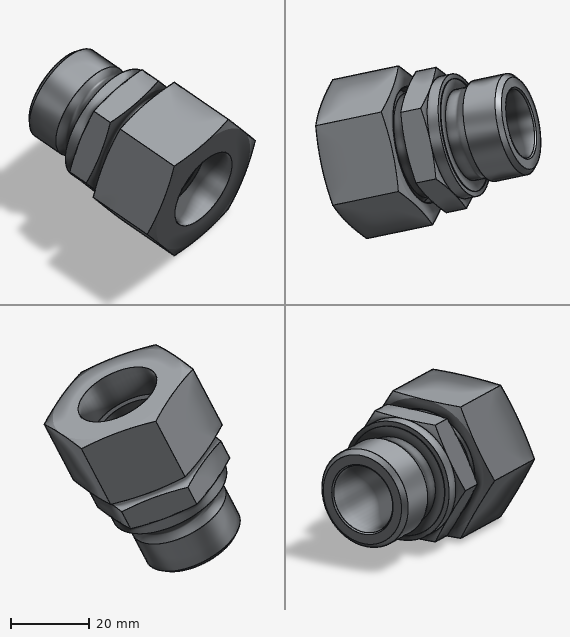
import cadquery as cq
import math

overall_length = 49.0

bore_radius = 9.0
bore_lip_chamfer = 0.4
stud_radius = 13.25
stud_tip_chamfer = 1.22
stud_length = 10.25
neck_radius = 11.9
neck_fillet = 1.35
neck_taper = math.radians(30)

flange_start = 15.95
flange_end = 19.05
body_hex_end = 26.0
body_hex_flats = 32.0
flange_radius = body_hex_flats / 2

shank_neck_radius = 13.55
shank_neck_end = 29.6
shank_radius = 15.0
shank_taper = math.radians(30)
shank_end = 40.0
shank_fillet = 0.6

seal_radius = 14.7
seal_depth = 1.45
seal_projection = 0.2

nut_start = 29.0
nut_flats = 36.0
nut_mouth_chamfer = 0.3
tube_hole_radius = 11.0

hex_chamfer_angle = math.radians(15)


def tube(start, end, outer_radius, inner_radius):
    """Round tube along X."""
    return (
        cq.Workplane("YZ", origin=(start, 0, 0))
        .circle(outer_radius)
        .circle(inner_radius)
        .extrude(end - start)
    )


def chamfered_hex(start, end, flats):
    """Hexagonal prism along X, its corners turned off by a shallow cone at both ends."""
    face_radius = flats / 2
    corner_radius = face_radius / math.cos(math.pi / 6)
    cone_length = (corner_radius - face_radius) * math.tan(hex_chamfer_angle)
    prism = (
        cq.Workplane("YZ", origin=(start, 0, 0))
        .polygon(6, 2 * corner_radius)
        .extrude(end - start)
    )
    turned_envelope = (
        cq.Workplane("XY")
        .moveTo(start, 0)
        .lineTo(start, face_radius)
        .lineTo(start + cone_length, corner_radius)
        .lineTo(end - cone_length, corner_radius)
        .lineTo(end, face_radius)
        .lineTo(end, 0)
        .close()
        .revolve(360, (0, 0, 0), (1, 0, 0))
    )
    return prism.intersect(turned_envelope)


def stud_and_flange():
    """Turned stud, undercut neck and flange, still without the bore."""
    taper_end_radius = neck_radius + neck_fillet * (1 - math.cos(neck_taper))
    taper_end = stud_length + (stud_radius - taper_end_radius) / math.tan(neck_taper)
    neck_start = taper_end + neck_fillet * math.sin(neck_taper)
    fillet_middle = (
        neck_start - neck_fillet * math.sin(neck_taper / 2),
        neck_radius + neck_fillet * (1 - math.cos(neck_taper / 2)),
    )
    return (
        cq.Workplane("XY")
        .lineTo(0, stud_radius - stud_tip_chamfer)
        .lineTo(stud_tip_chamfer, stud_radius)
        .lineTo(stud_length, stud_radius)
        .lineTo(taper_end, taper_end_radius)
        .threePointArc(fillet_middle, (neck_start, neck_radius))
        .lineTo(flange_start, neck_radius)
        .lineTo(flange_start, flange_radius)
        .lineTo(flange_end, flange_radius)
        .lineTo(flange_end, 0)
        .close()
        .revolve(360, (0, 0, 0), (1, 0, 0))
    )


def shank():
    """Round shank behind the hexagon: filleted neck, then a taper up to the nut seat."""
    root_radius = shank_neck_radius + shank_fillet
    fillet_offset = shank_fillet * (1 - math.sqrt(0.5))
    taper_end = shank_neck_end + (shank_radius - shank_neck_radius) / math.tan(shank_taper)
    return (
        cq.Workplane("XY")
        .moveTo(body_hex_end, 0)
        .lineTo(body_hex_end, root_radius)
        .threePointArc(
            (body_hex_end + fillet_offset, shank_neck_radius + fillet_offset),
            (body_hex_end + shank_fillet, shank_neck_radius),
        )
        .lineTo(shank_neck_end, shank_neck_radius)
        .lineTo(taper_end, shank_radius)
        .lineTo(shank_end, shank_radius)
        .lineTo(shank_end, 0)
        .close()
        .revolve(360, (0, 0, 0), (1, 0, 0))
    )


def bore():
    """Through bore of the body, widened by a chamfer at the stud tip."""
    return (
        cq.Workplane("XY")
        .lineTo(0, bore_radius + bore_lip_chamfer)
        .lineTo(bore_lip_chamfer, bore_radius)
        .lineTo(shank_end, bore_radius)
        .lineTo(shank_end, 0)
        .close()
        .revolve(360, (0, 0, 0), (1, 0, 0))
    )


def make_body():
    """Stud, flange, hexagon and shank with the bore and the seal groove cut."""
    seal_groove = tube(flange_start, flange_start + seal_depth, seal_radius, neck_radius)
    return (
        stud_and_flange()
        .union(chamfered_hex(flange_end, body_hex_end, body_hex_flats))
        .union(shank())
        .cut(bore())
        .cut(seal_groove)
    )


def make_seal():
    """Seal ring that fills the groove and stands slightly proud of the flange."""
    return tube(flange_start - seal_projection, flange_start + seal_depth, seal_radius, neck_radius)


def make_nut():
    """Hexagonal nut: a chamfered socket for the shank, then a smaller hole for the tube."""
    cavity = (
        cq.Workplane("XY")
        .moveTo(nut_start, 0)
        .lineTo(nut_start, shank_radius + nut_mouth_chamfer)
        .lineTo(nut_start + nut_mouth_chamfer, shank_radius)
        .lineTo(shank_end, shank_radius)
        .lineTo(shank_end, tube_hole_radius)
        .lineTo(overall_length, tube_hole_radius)
        .lineTo(overall_length, 0)
        .close()
        .revolve(360, (0, 0, 0), (1, 0, 0))
    )
    return chamfered_hex(nut_start, overall_length, nut_flats).cut(cavity)


body = make_body()
seal = make_seal()
nut = make_nut()

result = cq.Compound.makeCompound([body.solids().val(), seal.solids().val(), nut.solids().val()])